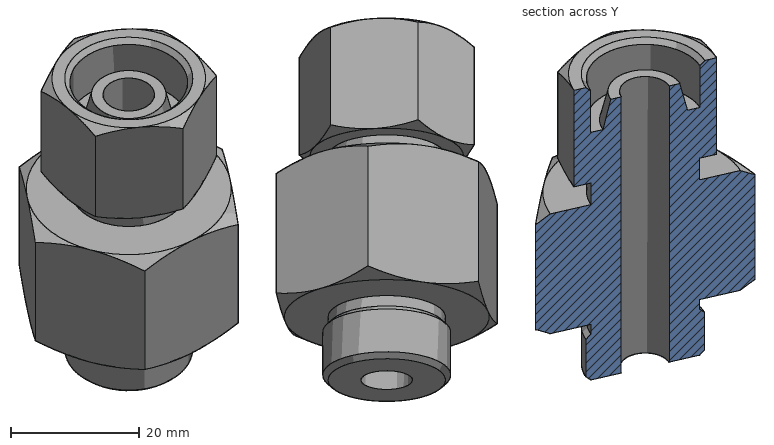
import cadquery as cq
import math

total_height = 56.0
body_hex_bottom = 10.6
body_hex_top = 33.5
nut_bottom = 37.5

body_across_flats = 32.0
nut_across_flats = 23.95
hex_chamfer_angle = 30.0

stud_diameter = 20.0
neck_diameter = 18.3
stud_shoulder = 8.0
stud_end_chamfer = 0.85

socket_diameter = 18.35
socket_mouth_diameter = 20.0
socket_depth = 8.75
nose_recess = 3.3
nose_tip_diameter = 11.65
nose_base_diameter = 14.3
bore_diameter = 8.0


def cylinder(diameter, bottom, top):
    return cq.Workplane("XY").workplane(offset=bottom).circle(diameter / 2).extrude(top - bottom)


def revolved(profile):
    """Revolve a closed (radius, height) profile about the Z axis."""
    return cq.Workplane("XZ").polyline(profile).close().revolve(360, (0, 0), (0, 1))


def chamfered_hex(across_flats, bottom, top, rotation):
    """Hexagon whose corners are turned off by a cone at both ends."""
    flat_radius = across_flats / 2
    corner_radius = flat_radius / math.cos(math.radians(30))
    outer_radius = corner_radius * 1.1
    drop = (outer_radius - flat_radius) * math.tan(math.radians(hex_chamfer_angle))
    prism = (
        cq.Workplane("XY")
        .workplane(offset=bottom)
        .polygon(6, 2 * corner_radius)
        .extrude(top - bottom)
        .rotate((0, 0, 0), (0, 0, 1), rotation)
    )
    envelope = revolved([
        (0, bottom),
        (flat_radius, bottom),
        (outer_radius, bottom + drop),
        (outer_radius, top - drop),
        (flat_radius, top),
        (0, top),
    ])
    return prism.intersect(envelope)


def make_stud():
    """Stud with a chamfered free end and a tapered relief at its inner end."""
    stud_radius = stud_diameter / 2
    neck_radius = neck_diameter / 2
    relief_top = stud_shoulder + stud_radius - neck_radius
    return revolved([
        (0, 0),
        (stud_radius - stud_end_chamfer, 0),
        (stud_radius, stud_end_chamfer),
        (stud_radius, stud_shoulder),
        (neck_radius, relief_top),
        (neck_radius, body_hex_bottom),
        (0, body_hex_bottom),
    ])


def make_socket():
    """Space inside the nut, around and above the tapered nose."""
    socket_radius = socket_diameter / 2
    mouth_radius = socket_mouth_diameter / 2
    mouth_chamfer_height = mouth_radius - socket_radius
    floor = total_height - socket_depth
    nose_tip = total_height - nose_recess
    return revolved([
        (0, nose_tip),
        (nose_tip_diameter / 2, nose_tip),
        (nose_base_diameter / 2, floor),
        (socket_radius, floor),
        (socket_radius, total_height - mouth_chamfer_height),
        (mouth_radius, total_height),
        (0, total_height),
    ])


body_hex = chamfered_hex(body_across_flats, body_hex_bottom, body_hex_top, 0)
nut = chamfered_hex(nut_across_flats, nut_bottom, total_height, 30)
neck = cylinder(neck_diameter, body_hex_top, nut_bottom)
bore = cylinder(bore_diameter, 0, total_height)

result = make_stud().union(body_hex).union(neck).union(nut).cut(make_socket()).cut(bore)